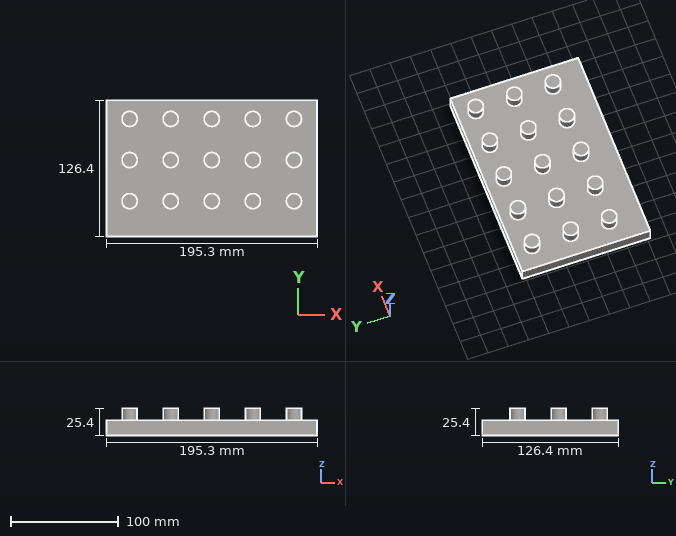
import cadquery as cq

plate_length = 195.3
plate_width = 126.4
plate_thickness = 14.3

overall_height = 25.4
pin_height = overall_height - plate_thickness
pin_diameter = 14.0
pin_pitch = 38.0
pin_columns = 5
pin_rows = 3
back_margin = 17.4

grid_width = (pin_rows - 1) * pin_pitch
grid_center_y = plate_width / 2 - back_margin - grid_width / 2

plate = cq.Workplane("XY").box(
    plate_length, plate_width, plate_thickness, centered=(True, True, False)
)

result = (
    plate.faces(">Z")
    .workplane(origin=(0, grid_center_y, 0))
    .rarray(pin_pitch, pin_pitch, pin_columns, pin_rows)
    .circle(pin_diameter / 2)
    .extrude(pin_height)
)